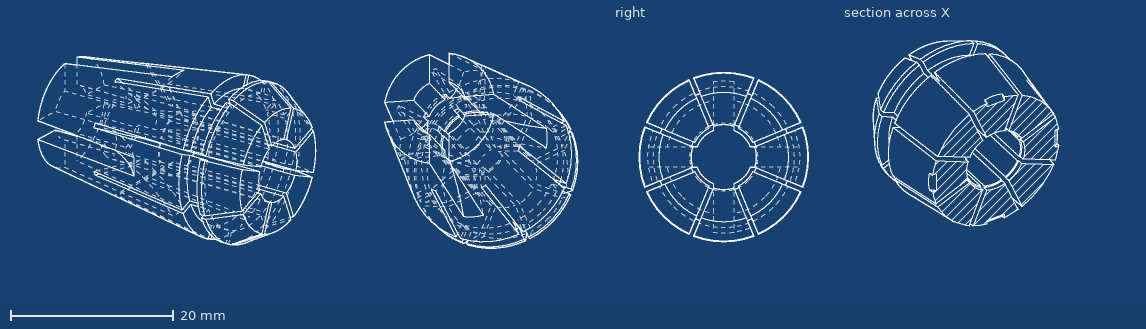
import cadquery as cq
import math

LENGTH = 31.5
TAPER_LENGTH = 24.0
TAPER_ANGLE = 8.0
TAPER_END_RADIUS = 10.45
SMALL_END_RADIUS = TAPER_END_RADIUS - TAPER_LENGTH * math.tan(math.radians(TAPER_ANGLE))

GROOVE_WIDTH = 2.7
GROOVE_RADIUS = 8.7
RIM_START = TAPER_LENGTH + GROOVE_WIDTH
RIM_WIDTH = 0.7
RIM_RADIUS = 10.35
NOSE_ANGLE = 30.0
NOSE_START = RIM_START + RIM_WIDTH
NOSE_END_RADIUS = RIM_RADIUS - (LENGTH - NOSE_START) * math.tan(math.radians(NOSE_ANGLE))

SMALL_BORE_RADIUS = 3.5
SMALL_BORE_END = 7.5
RELIEF_RADIUS = 4.2
RELIEF_END = 16.4
GRIP_BORE_RADIUS = 4.0

SLOT_COUNT = 4
SLOT_WIDTH = 2.5
CUTTER_RADIUS = 20.0
CUTTER_X = 0.88
CUTTER_OFFSET = 22.0

SLIT_COUNT = 8
SLIT_WIDTH = 0.6
SLIT_START = 9.2
SLIT_START_RADIUS = SMALL_END_RADIUS + SLIT_START * math.tan(math.radians(TAPER_ANGLE))
SLIT_RUNOUT_ANGLE = 40.0
SLIT_FLOOR_RADIUS = GRIP_BORE_RADIUS / 2
SLIT_CLEARANCE = 1.0
SLIT_TOP_RADIUS = TAPER_END_RADIUS + SLIT_CLEARANCE


def turn(profile):
    """Revolve an (x, radius) profile a full turn about the X axis."""
    return cq.Workplane("XY").polyline(profile).close().revolve(360, (0, 0, 0), (1, 0, 0))


def make_body():
    """Solid of revolution with the taper, groove, rim and nose cone."""
    profile = [
        (0, 0),
        (0, SMALL_END_RADIUS),
        (TAPER_LENGTH, TAPER_END_RADIUS),
        (TAPER_LENGTH, GROOVE_RADIUS),
        (RIM_START, GROOVE_RADIUS),
        (RIM_START, RIM_RADIUS),
        (NOSE_START, RIM_RADIUS),
        (LENGTH, NOSE_END_RADIUS),
        (LENGTH, 0),
    ]
    return turn(profile)


def make_bore():
    """Stepped round hole through the whole length."""
    profile = [
        (0, 0),
        (0, SMALL_BORE_RADIUS),
        (SMALL_BORE_END, SMALL_BORE_RADIUS),
        (SMALL_BORE_END, RELIEF_RADIUS),
        (RELIEF_END, RELIEF_RADIUS),
        (RELIEF_END, GRIP_BORE_RADIUS),
        (LENGTH, GRIP_BORE_RADIUS),
        (LENGTH, 0),
    ]
    return turn(profile)


def make_slot():
    """Disc swept by the slot cutter, above the axis."""
    return (
        cq.Workplane("XZ")
        .center(CUTTER_X, CUTTER_OFFSET)
        .circle(CUTTER_RADIUS)
        .extrude(SLOT_WIDTH / 2, both=True)
    )


def make_slit():
    """Thin radial blade above the axis, reaching from the bore out past the surface."""
    slope = math.tan(math.radians(SLIT_RUNOUT_ANGLE))
    profile = [
        (SLIT_START, SLIT_TOP_RADIUS),
        (SLIT_START, SLIT_START_RADIUS),
        (SLIT_START + (SLIT_START_RADIUS - SLIT_FLOOR_RADIUS) / slope, SLIT_FLOOR_RADIUS),
        (LENGTH, SLIT_FLOOR_RADIUS),
        (LENGTH, SLIT_TOP_RADIUS),
    ]
    return cq.Workplane("XZ").polyline(profile).close().extrude(SLIT_WIDTH / 2, both=True)


def cut_around(body, tool, count, first_angle):
    """Cut evenly spaced copies of the tool around the X axis."""
    for index in range(count):
        angle = first_angle + index * 360 / count
        body = body.cut(tool.rotate((0, 0, 0), (1, 0, 0), angle))
    return body


result = make_body().cut(make_bore())
result = cut_around(result, make_slot(), SLOT_COUNT, 0)
result = cut_around(result, make_slit(), SLIT_COUNT, 180 / SLIT_COUNT)